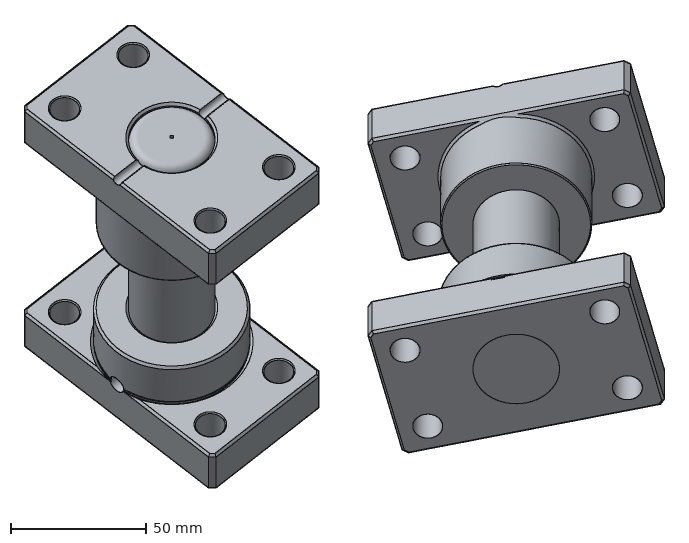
import cadquery as cq

pin_length = 140.0
pin_proud = 0.5
upper_top = pin_length - pin_proud

plate_length = 100.0
plate_width = 58.0
plate_thickness = 20.0
corner_chamfer = 2.0
edge_chamfer = 1.0

hole_diameter = 11.0
hole_chamfer = 0.49
hole_countersink_angle = 90
hole_spacing_x = 76.0
hole_spacing_y = 36.0

lower_collar_diameter = plate_width
lower_collar_height = 20.0
lower_collar_chamfer = 1.0
upper_collar_diameter = 56.0
upper_collar_height = 29.7
upper_collar_chamfer = 0.49
root_flare = 1.0

relief_outer_radius = 30.1
relief_depth = 1.4

pin_diameter = 32.0
pin_end_round = 3.5
center_hole_diameter = 1.4
center_hole_depth = 2.8
bore_chamfer = 1.0

vent_radius = 2.0
oil_hole_diameter = 7.0

lower_plate_top = plate_thickness
lower_collar_top = lower_plate_top + lower_collar_height
upper_plate_bottom = upper_top - plate_thickness
upper_collar_bottom = upper_plate_bottom - upper_collar_height


def cylinder(diameter, bottom, top):
    return cq.Workplane("XY").workplane(offset=bottom).circle(diameter / 2).extrude(top - bottom)


def revolved(profile):
    """Revolve a closed (radius, height) profile around the Z axis."""
    return cq.Workplane("XZ").polyline(profile).close().revolve(360, (0, 0), (0, 1))


def plate(bottom):
    """Chamfered block with four countersunk mounting holes."""
    block = (
        cq.Workplane("XY")
        .workplane(offset=bottom)
        .rect(plate_length, plate_width)
        .extrude(plate_thickness)
        .edges("|Z")
        .chamfer(corner_chamfer)
        .faces("<Z or >Z")
        .edges()
        .chamfer(edge_chamfer)
    )
    return (
        block.faces(">Z")
        .workplane()
        .rarray(hole_spacing_x, hole_spacing_y, 2, 2)
        .cskHole(hole_diameter, hole_diameter + 2 * hole_chamfer, hole_countersink_angle)
    )


def bore(bottom, top):
    """Cutter for a pin bore that is countersunk at its top end."""
    pin_radius = pin_diameter / 2
    return revolved([
        (0, bottom),
        (pin_radius, bottom),
        (pin_radius, top - bore_chamfer),
        (pin_radius + bore_chamfer, top),
        (0, top),
    ])


def make_lower_flange():
    relief_inner_radius = relief_outer_radius - relief_depth
    relief = revolved([
        (relief_inner_radius, lower_plate_top),
        (relief_inner_radius, lower_plate_top - relief_depth),
        (relief_outer_radius, lower_plate_top),
    ])
    collar = cylinder(lower_collar_diameter, lower_plate_top, lower_collar_top)
    collar = collar.faces(">Z").chamfer(lower_collar_chamfer)
    oil_hole = (
        cq.Workplane("XZ", origin=(0, 0, lower_plate_top))
        .circle(oil_hole_diameter / 2)
        .extrude(plate_width)
    )
    base = plate(0).cut(oil_hole).cut(relief)
    flange = base.union(collar.cut(oil_hole))
    return flange.cut(bore(0, lower_collar_top))


def make_upper_flange():
    collar = cylinder(upper_collar_diameter, upper_collar_bottom, upper_plate_bottom)
    collar = collar.faces("<Z").chamfer(upper_collar_chamfer)
    collar_radius = upper_collar_diameter / 2
    flare = revolved([
        (0, upper_plate_bottom),
        (0, upper_plate_bottom - root_flare),
        (collar_radius, upper_plate_bottom - root_flare),
        (collar_radius + root_flare, upper_plate_bottom),
    ])
    flat_half_width = plate_width / 2 - edge_chamfer
    trim = (
        cq.Workplane("YZ")
        .polyline([
            (-flat_half_width, upper_plate_bottom),
            (flat_half_width, upper_plate_bottom),
            (flat_half_width - root_flare, upper_plate_bottom - root_flare),
            (root_flare - flat_half_width, upper_plate_bottom - root_flare),
        ])
        .close()
        .extrude(plate_length / 2, both=True)
    )
    vent = (
        cq.Workplane("XZ", origin=(0, 0, upper_top))
        .circle(vent_radius)
        .extrude(plate_width, both=True)
    )
    flange = plate(upper_plate_bottom).union(collar).union(flare.intersect(trim))
    return flange.cut(vent).cut(bore(upper_collar_bottom, upper_top))


def make_pin():
    pin = cylinder(pin_diameter, 0, pin_length).faces(">Z").edges().fillet(pin_end_round)
    return pin.cut(cylinder(center_hole_diameter, pin_length - center_hole_depth, pin_length))


lower_flange = make_lower_flange()
upper_flange = make_upper_flange()
pin = make_pin()

result = cq.Compound.makeCompound([lower_flange.val(), upper_flange.val(), pin.val()])